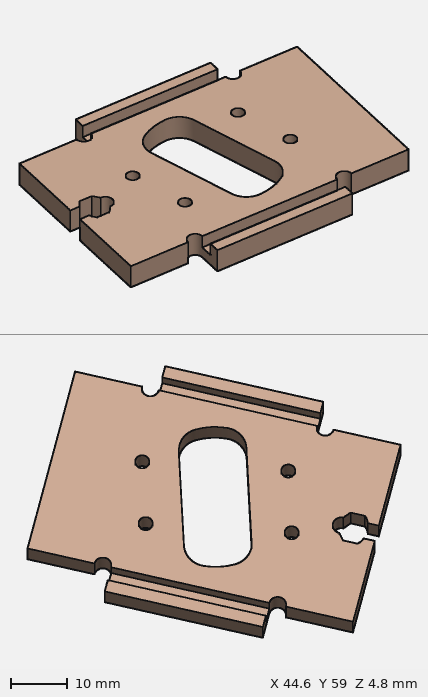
import cadquery as cq
import math

plate_width = 35.05
plate_length = 59.0
thickness = 4.8

overall_width = 44.6
flange_length = 28.7
flange_floor = 2.25
rail_width = 2.25

notch_diameter = 3.0

window_center_y = -0.25
window_tilt = 16.7
window_length = 26.9
window_height = 11.9
window_end_radius = 11.8
window_corner_radius = 4.15

hole_diameter = 2.5
hole_center_y = -0.55
hole_offsets = [(3.5, 14.4), (-7.9, 11.0)]

key_slot_width = 3.0
key_pocket_width = 5.5
key_arc_start_height = 2.0
key_arc_mid = (2.05, 2.25)
key_side_bottom = 2.85
key_side_top = 5.4
key_round_center = 6.45


def box(width, length, height, x=0, z=0):
    """Block centred at x along X and at the origin along Y, standing on z."""
    return cq.Workplane("XY").box(width, length, height, centered=(True, True, False)).translate((x, 0, z))


def window():
    half_length = window_length / 2
    half_height = window_height / 2
    bow = window_end_radius - math.sqrt(window_end_radius**2 - half_height**2)
    corner_x = half_length - bow
    return (
        cq.Workplane("XY")
        .moveTo(-corner_x, -half_height)
        .lineTo(corner_x, -half_height)
        .threePointArc((half_length, 0), (corner_x, half_height))
        .lineTo(-corner_x, half_height)
        .threePointArc((-half_length, 0), (-corner_x, -half_height))
        .close()
        .extrude(thickness)
        .edges("|Z")
        .fillet(window_corner_radius)
        .rotate((0, 0, 0), (0, 0, 1), window_tilt)
        .translate((0, window_center_y, 0))
    )


def keyhole():
    half_slot = key_slot_width / 2
    half_pocket = key_pocket_width / 2
    mid_x, mid_y = key_arc_mid
    return (
        cq.Workplane("XY", origin=(0, -plate_length / 2, 0))
        .moveTo(-half_slot, 0)
        .lineTo(half_slot, 0)
        .lineTo(half_slot, key_arc_start_height)
        .threePointArc((mid_x, mid_y), (half_pocket, key_side_bottom))
        .lineTo(half_pocket, key_side_top)
        .lineTo(half_slot, key_round_center)
        .threePointArc((0, key_round_center + half_slot), (-half_slot, key_round_center))
        .lineTo(-half_pocket, key_side_top)
        .lineTo(-half_pocket, key_side_bottom)
        .threePointArc((-mid_x, mid_y), (-half_slot, key_arc_start_height))
        .close()
        .extrude(thickness)
    )


def round_cuts(points, diameter):
    return cq.Workplane("XY").pushPoints(points).circle(diameter / 2).extrude(thickness)


rail_x = (overall_width - rail_width) / 2
result = box(plate_width, plate_length, thickness)
result = result.union(box(overall_width, flange_length, flange_floor))
for side in (-1, 1):
    result = result.union(box(rail_width, flange_length, thickness, side * rail_x))

notch_x = plate_width / 2
notch_y = (flange_length + notch_diameter) / 2
notch_points = [(sx * notch_x, sy * notch_y) for sx in (-1, 1) for sy in (-1, 1)]
result = result.cut(round_cuts(notch_points, notch_diameter))

hole_points = [(turn * x, hole_center_y + turn * y) for turn in (-1, 1) for x, y in hole_offsets]
result = result.cut(round_cuts(hole_points, hole_diameter))

result = result.cut(window())
result = result.cut(keyhole())